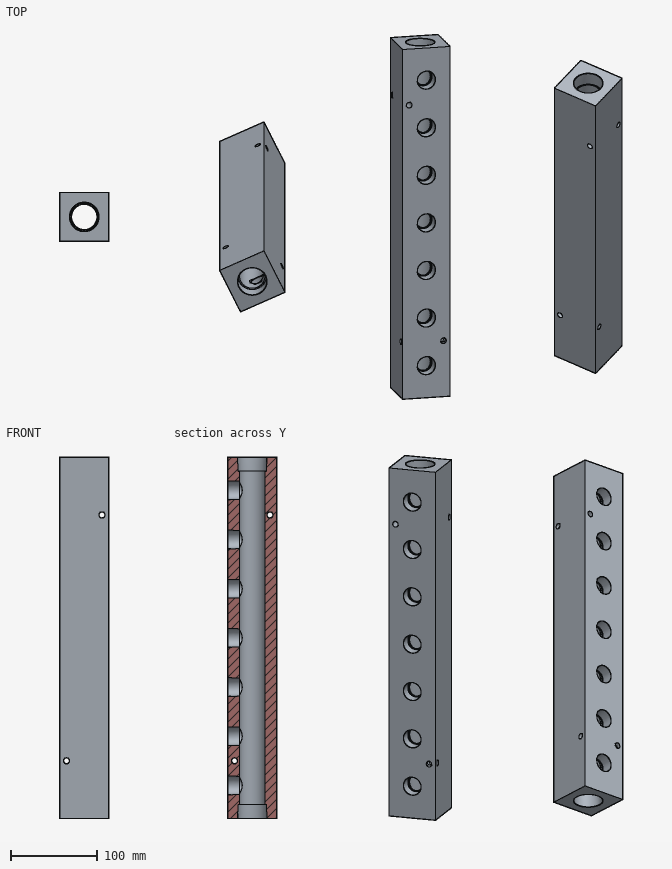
import cadquery as cq

length = 419.0
width = 57.0

pipe_taper = 1 / 16

gallery_diameter = 29.5
gallery_socket_diameter = 33.5
gallery_socket_depth = 16.5
gallery_mouth_diameter = 34.5

port_count = 7
port_pitch = width
port_diameter = 18.0
port_socket_diameter = 21.5
port_socket_depth = 14.0
port_mouth_diameter = 22.0

mount_diameter = 6.5
mount_offset = 20.5
mount_height = (port_count - 2) * port_pitch / 2


def end_plane(end):
    """Plane on the top (end = 1) or bottom (end = -1) face, looking inwards."""
    return cq.Plane(origin=(0, 0, end * length / 2), xDir=(1, 0, 0), normal=(0, 0, -end))


def side_plane(y, z):
    """Plane on the -X face, looking inwards."""
    return cq.Plane(origin=(-width / 2, y, z), xDir=(0, 0, -1), normal=(1, 0, 0))


def front_plane(x, z):
    """Plane on the -Y face, looking inwards."""
    return cq.Plane(origin=(x, -width / 2, z), xDir=(1, 0, 0), normal=(0, 1, 0))


def straight_cutter(plane, diameter, depth):
    """Cylinder sunk from the plane's origin into the block."""
    return cq.Workplane(plane).circle(diameter / 2).extrude(depth)


def conical_cutter(plane, outer_diameter, inner_diameter, depth):
    """Cone narrowing from the plane's origin into the block."""
    cone = cq.Solid.makeCone(outer_diameter / 2, inner_diameter / 2, depth, plane.origin, plane.zDir)
    return cq.Workplane(cone)


def cut_socket(body, plane, diameter, depth, mouth_diameter):
    """Tapered pipe socket with a small 45 degree chamfer at its mouth."""
    bottom_diameter = diameter - depth * pipe_taper
    chamfer_depth = (mouth_diameter - diameter) / 2
    body = body.cut(conical_cutter(plane, diameter, bottom_diameter, depth))
    return body.cut(conical_cutter(plane, mouth_diameter, diameter, chamfer_depth))


def cut_gallery(body):
    """Through bore with a socket at both ends."""
    body = body.cut(straight_cutter(end_plane(1), gallery_diameter, length))
    for end in (1, -1):
        body = cut_socket(
            body, end_plane(end), gallery_socket_diameter, gallery_socket_depth, gallery_mouth_diameter
        )
    return body


def cut_ports(body):
    """Row of ports centred along the bar, each drilled to the gallery axis."""
    for index in range(port_count):
        height = (index - (port_count - 1) / 2) * port_pitch
        plane = side_plane(0, height)
        body = body.cut(straight_cutter(plane, port_diameter, width / 2))
        body = cut_socket(body, plane, port_socket_diameter, port_socket_depth, port_mouth_diameter)
    return body


def cut_mounting_holes(body):
    """Crossing pairs of through holes near two diagonally opposite edges."""
    for side in (1, -1):
        offset = side * mount_offset
        height = side * mount_height
        body = body.cut(straight_cutter(front_plane(offset, height), mount_diameter, width))
        body = body.cut(straight_cutter(side_plane(offset, height), mount_diameter, width))
    return body


block = cq.Workplane("XY").box(width, width, length)
result = cut_mounting_holes(cut_ports(cut_gallery(block)))